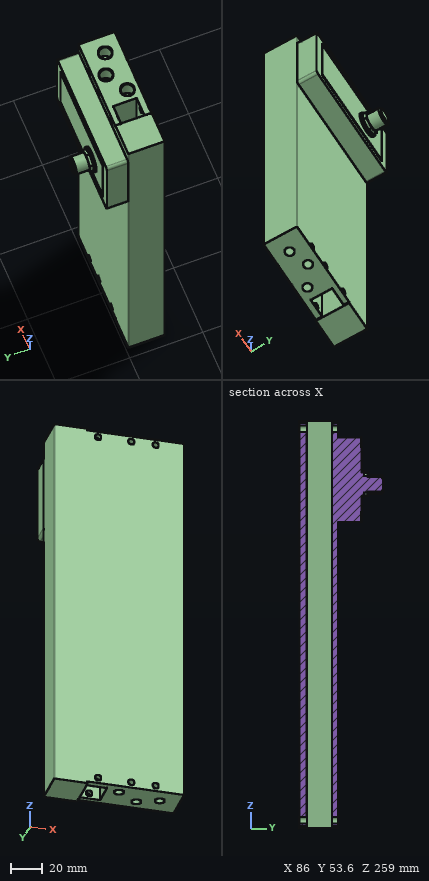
import cadquery as cq
import math

width = 86.0
height = 259.0
body_depth = 25.0
end_step = 1.2
pad_width = 22.2
corner_radius = 0.5
overlap = 1.0

channel_width = 14.0
channel_front = 4.9
channel_depth = 16.0

port_places = [
    (1.0, 8.1, 2.0, 7.8),
    (16.0, 16.8, 16.0, 16.8),
    (31.0, 11.3, 30.0, 11.6),
]
port_diameter = 8.4
port_chamfer = 0.5
port_length = 12.0
gallery_diameter = 6.2

mount_x = [-14.0, 7.9, 24.0]
mount_diameter = 4.0
mount_end_distance = 5.1

housing_depth = 14.6
housing_height = 54.0
housing_top = height - 10.4
housing_radius = 2.0
housing_back = body_depth + housing_depth
housing_center_z = housing_top - housing_height / 2

cover_margin = 6.5
cover_thickness = 0.3

connector_x = -17.5
connector_z = 218.6
washer_diameter = 17.0
washer_back = 41.3
nut_across_flats = 12.8
nut_sides = 6
nut_across_corners = nut_across_flats / math.cos(math.pi / nut_sides)
nut_back = 43.7
barrel_diameter = 12.0
barrel_back = 53.6
barrel_chamfer = 1.2


def upright_bar(x_min, x_max, z_min, z_max):
    """Bar as deep as the body, with its four upright edges rounded."""
    return (
        cq.Workplane("XY")
        .box(x_max - x_min, body_depth, z_max - z_min, centered=False)
        .translate((x_min, 0, z_min))
        .edges("|Z")
        .fillet(corner_radius)
    )


def plane_facing_back(x, y, z):
    """Work plane whose normal is +Y, with local x along +X and local y along -Z."""
    return cq.Workplane(cq.Plane(origin=(x, y, z), xDir=(1, 0, 0), normal=(0, 1, 0)))


def make_body():
    left = -width / 2
    body = upright_bar(left, width / 2, end_step, height - end_step)
    pads = upright_bar(left, left + pad_width, 0, height)
    return body.union(pads)


def make_channel():
    return (
        cq.Workplane("XY")
        .box(channel_width, channel_depth, height, centered=False)
        .translate((pad_width - width / 2, channel_front, 0))
    )


def make_ports():
    ports = cq.Workplane("XY")
    for port_x, port_y, gallery_x, gallery_y in port_places:
        gallery = (
            cq.Workplane("XY")
            .center(gallery_x, gallery_y)
            .circle(gallery_diameter / 2)
            .extrude(height)
        )
        mouth = cq.Workplane("XY", origin=(port_x, port_y, height - end_step))
        port = mouth.circle(port_diameter / 2).extrude(-port_length)
        countersink = (
            mouth.circle(port_diameter / 2 + port_chamfer)
            .workplane(offset=-port_chamfer)
            .circle(port_diameter / 2)
            .loft()
        )
        ports = ports.union(gallery).union(port).union(countersink)
    return ports


def make_mount_holes():
    half_pitch = height / 2 - mount_end_distance
    places = [(x, side * half_pitch) for x in mount_x for side in (-1, 1)]
    return (
        plane_facing_back(0, 0, height / 2)
        .pushPoints(places)
        .circle(mount_diameter / 2)
        .extrude(body_depth)
    )


def make_housing():
    housing = (
        plane_facing_back(0, body_depth, housing_center_z)
        .rect(width, housing_height)
        .extrude(housing_depth)
        .edges("|Y")
        .fillet(housing_radius)
    )
    cover = (
        plane_facing_back(0, housing_back - overlap, housing_center_z)
        .rect(width - 2 * cover_margin, housing_height - 2 * cover_margin)
        .extrude(cover_thickness + overlap)
    )
    return housing.union(cover)


def make_connector():
    start = housing_back - overlap
    base = plane_facing_back(connector_x, start, connector_z)
    washer = base.circle(washer_diameter / 2).extrude(washer_back - start)
    nut = (
        base.transformed(rotate=(0, 0, 90))
        .polygon(nut_sides, nut_across_corners)
        .extrude(nut_back - start)
    )
    barrel = (
        base.circle(barrel_diameter / 2)
        .extrude(barrel_back - start)
        .faces(">Y")
        .chamfer(barrel_chamfer)
    )
    return washer.union(nut).union(barrel)


body = make_body().cut(make_channel()).cut(make_ports()).cut(make_mount_holes())
result = body.union(make_housing()).union(make_connector())